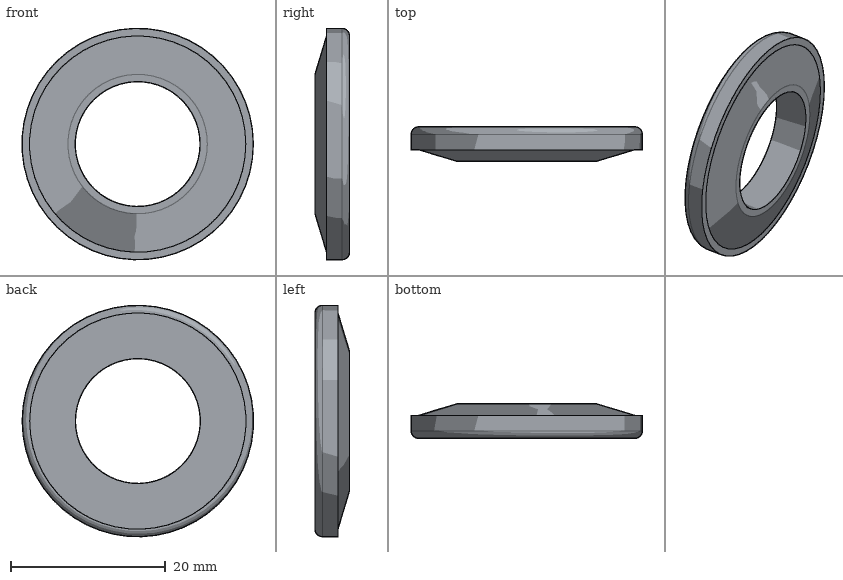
import cadquery as cq
import math

outer_radius = 14.97
bore_radius = 8.05
rim_width = 1.0
land_width = 0.95
rim_thickness = 3.0
cone_height = 1.5
edge_round = rim_width

core_radius = outer_radius - rim_width
cone_top_radius = bore_radius + land_width


def revolve_about_y(profile):
    """Turn a closed half-section in the XY plane into a solid of revolution."""
    return profile.revolve(360, (0, 0, 0), (0, 1, 0))


def make_rim():
    """Outer rim with a flat front at Y = 0 and a quarter-round back edge."""
    round_start = rim_thickness - edge_round
    diagonal = edge_round * math.sqrt(0.5)
    arc_middle = (core_radius + diagonal, round_start + diagonal)
    profile = (
        cq.Workplane("XY")
        .moveTo(core_radius, 0)
        .lineTo(outer_radius, 0)
        .lineTo(outer_radius, round_start)
        .threePointArc(arc_middle, (core_radius, rim_thickness))
        .close()
    )
    return revolve_about_y(profile)


def make_core():
    """Bored core that fills the rim and rises as a cone in front of it."""
    section = [
        (bore_radius, rim_thickness),
        (core_radius, rim_thickness),
        (core_radius, 0),
        (cone_top_radius, -cone_height),
        (bore_radius, -cone_height),
    ]
    return revolve_about_y(cq.Workplane("XY").polyline(section).close())


rim = make_rim()
core = make_core()

result = cq.Compound.makeCompound([rim.val(), core.val()])